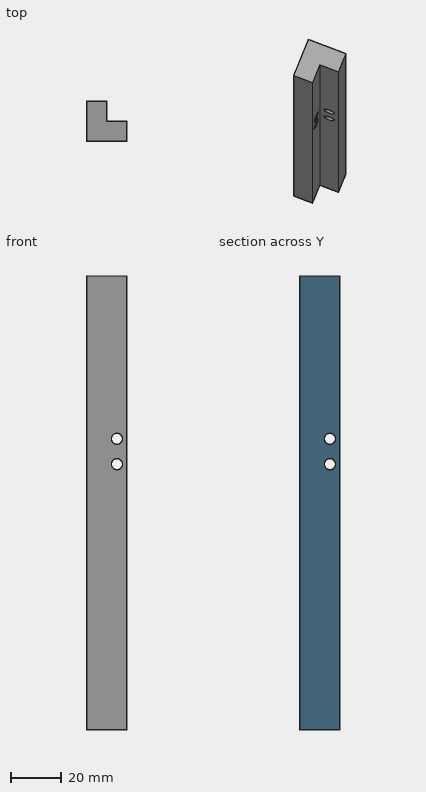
import cadquery as cq

length = 180.0
leg_width = 16.0
leg_thickness = 8.1

hole_diameter = 4.3
lower_hole_height = 105.3
hole_spacing = 10.0
hole_offset = (leg_width + leg_thickness) / 2
hole_heights = [lower_hole_height, lower_hole_height + hole_spacing]


def angle_bar():
    profile = [
        (0, 0),
        (leg_width, 0),
        (leg_width, leg_thickness),
        (leg_thickness, leg_thickness),
        (leg_thickness, leg_width),
        (0, leg_width),
    ]
    return cq.Workplane("XY").polyline(profile).close().extrude(length)


def hole_pair(plane, drill_depth):
    """Two cylinders, one above the other, drilled from the given plane."""
    centers = [(hole_offset, height) for height in hole_heights]
    return cq.Workplane(plane).pushPoints(centers).circle(hole_diameter / 2).extrude(drill_depth)


holes_along_y = hole_pair("XZ", -leg_width)
holes_along_x = hole_pair("YZ", leg_width)

result = angle_bar().cut(holes_along_y).cut(holes_along_x)